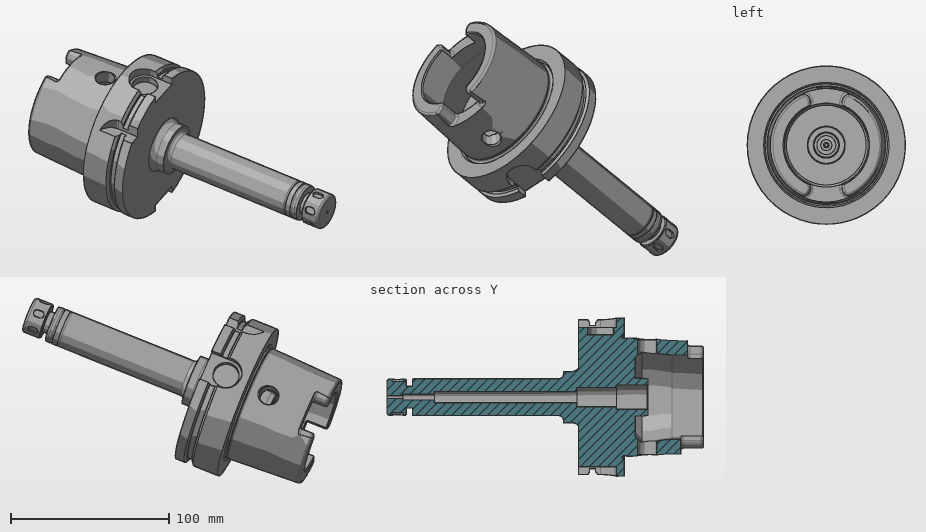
import cadquery as cq
import math


arc_midpoint_inset = 1 - math.sqrt(0.5)

shank_length = 50.0
shank_large_radius = 37.5
shank_small_radius = 35.35
shank_straight_length = 2.4
rim_round = 1.5
relief_start = -1.6
relief_floor_start = -0.9
relief_radius = 37.1
face_recess_round = 1.5
face_recess_radius = 39.6

flange_radius = 50.0
flange_width = 29.0
groove_left = 16.7
groove_floor_left = 18.3
groove_floor_right = 21.9
groove_right = 23.0
groove_floor_radius = 46.4
groove_chamfer_drop = 1.9

hub_radius = 16.2
hub_root_round = 6.0
hub_start = 33.5
hub_end = 38.5
shaft_radius = 11.75
shaft_root_round = 3.0
shaft_end = 134.0
shaft_end_taper_length = 1.6
shaft_end_taper_drop = 0.3
band_start = 125.8
band_end = 129.3
band_relief_width = 1.3
band_relief_depth = 0.4

neck_radius = 7.0
nut_start = 137.8
nut_end = 150.0
nut_radius = 11.5
nut_chamfer = 0.6
nut_front_round = 1.6
nut_slot_count = 6
nut_slot_length = 7.0
nut_slot_width = 4.6
nut_slot_depth = 1.6
nut_slot_x = 143.2

bore_radius = 26.5
bore_mouth_chamfer = 0.8
bore_straight_end_x = -30.0
bore_flare_end_x = -11.0
bore_flare_radius = 29.0
bore_floor_x = -7.0
bore_floor_radius = 25.2
boss_tip_x = -15.0
boss_tip_radius = 11.5
boss_radius = 12.0
boss_taper_length = 2.9

passage_steps = ((7.65, 5.0), (6.0, 30.0), (3.5, 120.0), (1.75, 140.0), (0.85, nut_end))
passage_mouth_chamfer = 0.6

drive_slot_width = 20.0
drive_slot_flare = 5.0
drive_slot_shoulder_z = 32.3
drive_slot_floor_round = 1.5
drive_slot_depth_top = 10.0
drive_slot_depth_bottom = 14.3

cross_hole_x = -14.3
cross_hole_radius = 6.0
cross_hole_mouth_radius = 6.7

flange_slot_width = 20.0
flange_slot_end_x = 15.0
flange_slot_floor_z = 44.0
magazine_hole_radius = 8.25
magazine_hole_depth = 4.5
notch_offset = 31.6


def revolve_about_x(profile):
    return profile.close().revolve(360, (0, 0, 0), (1, 0, 0))


def x_cylinder(radius, start, end):
    return cq.Workplane("YZ").workplane(offset=start).circle(radius).extrude(end - start)


def body_of_revolution():
    """Solid turned body: shank, flange, hub, shaft, neck and nut."""
    root_rise = hub_root_round - math.sqrt(hub_root_round**2 - (hub_start - flange_width) ** 2)
    root_mid_angle = math.asin((hub_start - flange_width) / hub_root_round) / 2
    root_mid = (
        hub_start - hub_root_round * math.sin(root_mid_angle),
        hub_radius + hub_root_round * (1 - math.cos(root_mid_angle)),
    )
    root_quarter = shaft_root_round * arc_midpoint_inset
    nut_quarter = nut_front_round * arc_midpoint_inset
    recess_quarter = face_recess_round * arc_midpoint_inset
    rim_quarter = rim_round * arc_midpoint_inset
    profile = (
        cq.Workplane("XY")
        .moveTo(-shank_length, 0)
        .lineTo(-shank_length, shank_small_radius - rim_round)
        .threePointArc(
            (-shank_length + rim_quarter, shank_small_radius - rim_quarter),
            (-shank_length + rim_round, shank_small_radius),
        )
        .lineTo(-shank_straight_length, shank_large_radius)
        .lineTo(relief_start, shank_large_radius)
        .lineTo(relief_floor_start, relief_radius)
        .lineTo(0, relief_radius)
        .threePointArc(
            (face_recess_round - recess_quarter, relief_radius + recess_quarter),
            (face_recess_round, relief_radius + face_recess_round),
        )
        .lineTo(0, face_recess_radius)
        .lineTo(0, flange_radius)
        .lineTo(groove_left, flange_radius)
        .lineTo(groove_floor_left, flange_radius - groove_chamfer_drop)
        .lineTo(groove_floor_left, groove_floor_radius)
        .lineTo(groove_floor_right, groove_floor_radius)
        .lineTo(groove_floor_right, flange_radius - groove_chamfer_drop)
        .lineTo(groove_right, flange_radius)
        .lineTo(flange_width, flange_radius)
        .lineTo(flange_width, hub_radius + root_rise)
        .threePointArc(root_mid, (hub_start, hub_radius))
        .lineTo(hub_end, hub_radius)
        .lineTo(hub_end, shaft_radius + shaft_root_round)
        .threePointArc(
            (hub_end + root_quarter, shaft_radius + root_quarter),
            (hub_end + shaft_root_round, shaft_radius),
        )
        .lineTo(band_start - band_relief_width, shaft_radius)
        .lineTo(band_start, shaft_radius - band_relief_depth)
        .lineTo(band_start, shaft_radius)
        .lineTo(band_end, shaft_radius)
        .lineTo(band_end, shaft_radius - band_relief_depth)
        .lineTo(band_end + band_relief_width, shaft_radius)
        .lineTo(shaft_end - shaft_end_taper_length, shaft_radius)
        .lineTo(shaft_end, shaft_radius - shaft_end_taper_drop)
        .lineTo(shaft_end, neck_radius)
        .lineTo(nut_start, neck_radius)
        .lineTo(nut_start, nut_radius - nut_chamfer)
        .lineTo(nut_start + nut_chamfer, nut_radius)
        .lineTo(nut_end - nut_front_round, nut_radius)
        .threePointArc(
            (nut_end - nut_quarter, nut_radius - nut_quarter),
            (nut_end, nut_radius - nut_front_round),
        )
        .lineTo(nut_end, 0)
    )
    return revolve_about_x(profile)


def clamping_bore():
    """Bore cavity, with the boss left standing on its floor."""
    return revolve_about_x(
        cq.Workplane("XY")
        .moveTo(-shank_length, 0)
        .lineTo(-shank_length, bore_radius + bore_mouth_chamfer)
        .lineTo(-shank_length + bore_mouth_chamfer, bore_radius)
        .lineTo(bore_straight_end_x, bore_radius)
        .lineTo(bore_flare_end_x, bore_flare_radius)
        .lineTo(bore_floor_x, bore_floor_radius)
        .lineTo(bore_floor_x, boss_radius)
        .lineTo(boss_tip_x + boss_taper_length, boss_radius)
        .lineTo(boss_tip_x, boss_tip_radius)
        .lineTo(boss_tip_x, 0)
    )


def coolant_passage():
    mouth_radius = passage_steps[0][0]
    profile = (
        cq.Workplane("XY")
        .moveTo(boss_tip_x, 0)
        .lineTo(boss_tip_x, mouth_radius + passage_mouth_chamfer)
    )
    start = boss_tip_x + passage_mouth_chamfer
    for radius, end in passage_steps:
        profile = profile.lineTo(start, radius).lineTo(end, radius)
        start = end
    return revolve_about_x(profile.lineTo(start, 0))


def drive_slot(depth):
    """Cutter for a slot in the +Z side of the rim, with flared walls and a rounded rim and floor."""
    half = drive_slot_width / 2
    wide = half + drive_slot_flare
    flare_z = drive_slot_shoulder_z - drive_slot_flare
    flare_quarter = drive_slot_flare * arc_midpoint_inset
    slot = (
        cq.Workplane("YZ")
        .workplane(offset=-shank_length)
        .moveTo(-half, 0)
        .lineTo(half, 0)
        .lineTo(half, flare_z)
        .threePointArc(
            (half + flare_quarter, drive_slot_shoulder_z - flare_quarter),
            (wide, drive_slot_shoulder_z),
        )
        .lineTo(flange_radius, drive_slot_shoulder_z)
        .lineTo(flange_radius, flange_radius)
        .lineTo(-flange_radius, flange_radius)
        .lineTo(-flange_radius, drive_slot_shoulder_z)
        .lineTo(-wide, drive_slot_shoulder_z)
        .threePointArc(
            (-half - flare_quarter, drive_slot_shoulder_z - flare_quarter),
            (-half, flare_z),
        )
        .close()
        .extrude(depth)
        .faces(">X")
        .edges()
        .fillet(drive_slot_floor_round)
    )
    plate = cq.Workplane("XY").box(
        rim_round, 4 * flange_radius, 4 * flange_radius, centered=(False, True, True)
    ).translate((-shank_length - rim_round, 0, 0))
    cutter = plate.union(slot)
    slot_mouth = cutter.faces("+X").faces("<X").val().innerWires()[0]
    return cutter.newObject(slot_mouth.Edges()).fillet(rim_round)


def cross_hole():
    """Radial hole through the shank wall along +Z, countersunk at the taper."""
    slope = (shank_large_radius - shank_small_radius) / (shank_length - rim_round - shank_straight_length)
    surface_z = shank_large_radius + slope * (cross_hole_x + shank_straight_length)
    reach = shank_large_radius - surface_z + 1
    hole = cq.Workplane("XY").center(cross_hole_x, 0).circle(cross_hole_radius).extrude(shank_large_radius)
    sink_depth = cross_hole_mouth_radius - cross_hole_radius
    sink = (
        cq.Workplane("XY")
        .workplane(offset=surface_z - sink_depth)
        .center(cross_hole_x, 0)
        .circle(cross_hole_radius)
        .workplane(offset=sink_depth + reach)
        .circle(cross_hole_mouth_radius + reach)
        .loft()
    )
    return hole.union(sink).cut(x_cylinder(bore_floor_radius, boss_tip_x, 0))


def flange_slot(center_y, floor_z):
    """Slot with a round end, open at the back of the flange, cut down to floor_z."""
    radius = flange_slot_width / 2
    return (
        cq.Workplane("XY")
        .workplane(offset=floor_z)
        .moveTo(flange_width, center_y - radius)
        .lineTo(flange_slot_end_x, center_y - radius)
        .threePointArc((flange_slot_end_x - radius, center_y), (flange_slot_end_x, center_y + radius))
        .lineTo(flange_width, center_y + radius)
        .close()
        .extrude(flange_radius - floor_z)
    )


def magazine_hole():
    """Blind hole in the floor of the +Z flange slot, centred on the slot's round end."""
    return (
        cq.Workplane("XY")
        .workplane(offset=flange_slot_floor_z - magazine_hole_depth)
        .center(flange_slot_end_x, 0)
        .circle(magazine_hole_radius)
        .extrude(magazine_hole_depth)
    )


def nut_slot(angle):
    """Wrench pocket in the nut's rim, turned about X."""
    return (
        cq.Workplane("XY")
        .workplane(offset=nut_radius - nut_slot_depth)
        .center(nut_slot_x, 0)
        .slot2D(nut_slot_length, nut_slot_width)
        .extrude(2 * nut_slot_depth)
        .rotate((0, 0, 0), (1, 0, 0), angle)
    )


def opposite(cutter):
    """The cutter turned half a revolution about X."""
    return cutter.rotate((0, 0, 0), (1, 0, 0), 180)


result = body_of_revolution().cut(clamping_bore()).cut(coolant_passage())

result = result.cut(drive_slot(drive_slot_depth_top))
result = result.cut(opposite(drive_slot(drive_slot_depth_bottom)))

result = result.cut(cross_hole()).cut(opposite(cross_hole()))

result = result.cut(flange_slot(0, flange_slot_floor_z)).cut(magazine_hole())
result = result.cut(opposite(flange_slot(0, flange_slot_floor_z)))

result = result.cut(flange_slot(-notch_offset - flange_slot_width / 2, notch_offset))

for index in range(nut_slot_count):
    result = result.cut(nut_slot(index * 360 / nut_slot_count))